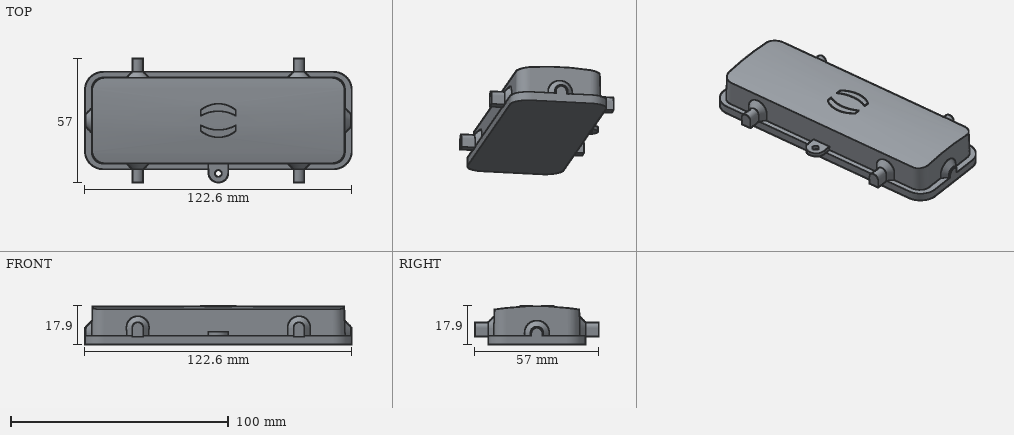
import cadquery as cq

FLANGE_LENGTH = 122.6
FLANGE_WIDTH = 44.8
FLANGE_HEIGHT = 4.0
FLANGE_CORNER_RADIUS = 8.5

BODY_FOOT_LENGTH = 116.3
BODY_FOOT_WIDTH = 39.6
BODY_CORNER_RADIUS = 5.5
BODY_INSET = 0.3
CROWN_HEIGHT = 17.6
CROWN_SAG = 1.5

PIN_RADIUS = 2.5
ROOT_DEPTH = 1.0
PEG_SPACING = 74.0
PEG_SPAN = 57.0
PEG_AXIS_HEIGHT = 7.7
PEG_BOTTOM = 3.6
END_PIN_AXIS_HEIGHT = 5.2
END_CONE_SETBACK = 0.5

EYE_RADIUS = 4.6
EYE_HOLE_DIAMETER = 3.0
EYE_THICKNESS = 1.9
EYE_CENTER_Y = EYE_RADIUS - PEG_SPAN / 2
EYE_HOLE_Y = -24.3

BAND_LENGTH = 16.0
BAND_RAISE = 0.32
BAND_OUTER_MIDDLE = 7.7
BAND_OUTER_END = 4.8
BAND_INNER_MIDDLE = 4.3
BAND_INNER_END = 2.2


def rounded_rectangle(length, width, radius):
    return cq.Sketch().rect(length, width).vertices().fillet(radius)


def make_flange():
    outline = rounded_rectangle(FLANGE_LENGTH, FLANGE_WIDTH, FLANGE_CORNER_RADIUS)
    return cq.Workplane("XY").placeSketch(outline).extrude(FLANGE_HEIGHT)


def make_space_under_crown(raise_height):
    """Cylinder along X whose upper surface is the crown, lifted by raise_height."""
    half_width = BODY_FOOT_WIDTH / 2 - BODY_INSET
    crown_radius = (half_width**2 + CROWN_SAG**2) / (2 * CROWN_SAG)
    return (
        cq.Workplane("YZ")
        .center(0, CROWN_HEIGHT - crown_radius)
        .circle(crown_radius + raise_height)
        .extrude(FLANGE_LENGTH / 2, both=True)
    )


def make_body():
    """Walls lean inward while the corner radius stays constant."""
    foot = rounded_rectangle(BODY_FOOT_LENGTH, BODY_FOOT_WIDTH, BODY_CORNER_RADIUS)
    head = rounded_rectangle(
        BODY_FOOT_LENGTH - 2 * BODY_INSET, BODY_FOOT_WIDTH - 2 * BODY_INSET, BODY_CORNER_RADIUS
    )
    rise = cq.Location(cq.Vector(0, 0, CROWN_HEIGHT - FLANGE_HEIGHT))
    block = (
        cq.Workplane("XY", origin=(0, 0, FLANGE_HEIGHT))
        .placeSketch(foot, head.moved(rise))
        .loft()
    )
    return block.intersect(make_space_under_crown(0))


def arch(plane, radius, leg):
    """Half round on top of two straight legs, centred on the plane origin."""
    return (
        cq.Workplane(plane)
        .moveTo(-radius, -leg)
        .lineTo(-radius, 0)
        .threePointArc((0, radius), (radius, 0))
        .lineTo(radius, -leg)
        .close()
    )


def make_pin_with_root(direction, axis_height, bottom, wall, flange_edge, cone_end, pin_end):
    """Arch-shaped pin along a horizontal direction, on a root flaring at 45 degrees to the wall.

    The distances wall to pin_end are measured outward from the Z axis. The flare
    meets the pin radius at flange_edge and is cut off square at cone_end.
    """
    root_start = wall - ROOT_DEPTH
    root_leg = axis_height - FLANGE_HEIGHT
    pin_leg = axis_height - bottom
    outward = cq.Vector(*direction)
    up = cq.Vector(0, 0, 1)

    def plane_at(distance):
        return cq.Plane(outward * distance + up * axis_height, up.cross(outward), outward)

    def root_outline(distance):
        radius = PIN_RADIUS + flange_edge - distance
        return arch(plane_at(distance), radius, root_leg).val()

    pin = arch(plane_at(root_start), PIN_RADIUS, pin_leg).extrude(pin_end - root_start)
    root = cq.Solid.makeLoft([root_outline(root_start), root_outline(cone_end)], True)
    return pin.union(cq.Workplane(obj=root))


def make_side_peg(x, side):
    peg = make_pin_with_root(
        direction=(0, side, 0),
        axis_height=PEG_AXIS_HEIGHT,
        bottom=PEG_BOTTOM,
        wall=BODY_FOOT_WIDTH / 2,
        flange_edge=FLANGE_WIDTH / 2,
        cone_end=FLANGE_WIDTH / 2,
        pin_end=PEG_SPAN / 2,
    )
    return peg.translate((x, 0, 0))


def make_end_boss(side):
    return make_pin_with_root(
        direction=(side, 0, 0),
        axis_height=END_PIN_AXIS_HEIGHT,
        bottom=FLANGE_HEIGHT,
        wall=BODY_FOOT_LENGTH / 2,
        flange_edge=FLANGE_LENGTH / 2,
        cone_end=FLANGE_LENGTH / 2 - END_CONE_SETBACK,
        pin_end=FLANGE_LENGTH / 2,
    )


def make_eye():
    inner_end = -BODY_FOOT_WIDTH / 2 + ROOT_DEPTH
    return (
        cq.Workplane("XY", origin=(0, 0, FLANGE_HEIGHT))
        .moveTo(-EYE_RADIUS, inner_end)
        .lineTo(-EYE_RADIUS, EYE_CENTER_Y)
        .threePointArc((0, EYE_CENTER_Y - EYE_RADIUS), (EYE_RADIUS, EYE_CENTER_Y))
        .lineTo(EYE_RADIUS, inner_end)
        .close()
        .moveTo(0, EYE_HOLE_Y)
        .circle(EYE_HOLE_DIAMETER / 2)
        .extrude(EYE_THICKNESS)
    )


def make_band(side):
    """Arched band bowing away from the X axis, following the crown."""
    half_length = BAND_LENGTH / 2
    column = (
        cq.Workplane("XY", origin=(0, 0, CROWN_HEIGHT - CROWN_SAG))
        .moveTo(-half_length, side * BAND_INNER_END)
        .threePointArc((0, side * BAND_INNER_MIDDLE), (half_length, side * BAND_INNER_END))
        .lineTo(half_length, side * BAND_OUTER_END)
        .threePointArc((0, side * BAND_OUTER_MIDDLE), (-half_length, side * BAND_OUTER_END))
        .close()
        .extrude(CROWN_SAG + BAND_RAISE)
    )
    return column.intersect(make_space_under_crown(BAND_RAISE))


result = make_flange().union(make_body()).union(make_eye())
for side in (-1, 1):
    result = result.union(make_end_boss(side))
    result = result.union(make_band(side))
    for peg_x in (-PEG_SPACING / 2, PEG_SPACING / 2):
        result = result.union(make_side_peg(peg_x, side))